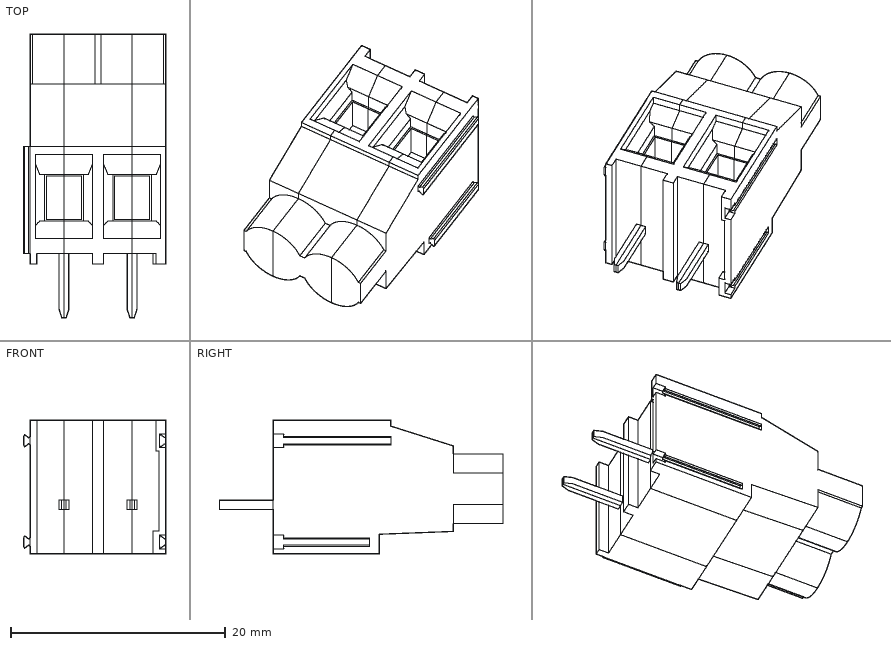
import cadquery as cq


LENGTH = 26.5
HEIGHT = 12.5
WIDTH = 12.7
FOOT_Y = 5.0
FOOT_HEIGHT = 0.98
FRONT_Y = FOOT_Y + FOOT_HEIGHT
TOP_STEP_Y = 16.0
BOTTOM_STEP_Y = 14.95
SHOULDER_Y = 21.85
SLOPE_HIGH_Z = 11.95
SLOPE_LOW_Z = 10.1
BELLY_FRONT_Z = 1.83
BELLY_BACK_Z = 2.1
SIDE_X = WIDTH / 2

POLE_PITCH = 6.35
POLE_XS = (-POLE_PITCH / 2, POLE_PITCH / 2)

TOWER_Z = 6.1
TOWER_RADIUS = 3.25
TOWER_BAR_HEIGHT = 2.92

LEFT_FOOT_WIDTH = 0.64
MIDDLE_FOOT_WIDTH = 1.03
RIGHT_FOOT_WIDTH = 0.64
RIGHT_FOOT_TOP_WIDTH = 0.95
RIGHT_FOOT_TOP_Z = 9.6
RIGHT_FOOT_BOTTOM_WIDTH = 1.22
RIGHT_FOOT_BOTTOM_Z = 2.15

POCKET_FRONT_Y = 7.42
POCKET_BACK_Y = 15.25
POCKET_BACK_WALL_Z = 11.77
WELL_FRONT_Y = 9.04
WELL_BACK_Y = 13.4
WELL_SLOPE_END_Z = 11.08
POCKET_HALF_WIDTH = 2.68
POCKET_SIDE_WALL_Z = 11.45
WELL_HALF_WIDTH = 1.8
WELL_SIDE_SLOPE_END_Z = 10.65
RIM_Z = 9.51
RIM_WIDTH = 0.15
POCKET_FLOOR_Z = TOWER_Z

RAIL_DEPTH = 0.6
RAIL_NOSE_DEPTH = 0.5
RAIL_NECK_DEPTH = 0.13
RAIL_NOSE_HALF = 0.4
RAIL_HALF = 0.58
RAIL_NECK_HALF = 0.3
RAIL_ROOT_HALF = 0.4
RAIL_MOUTH_HALF = 0.64
UPPER_RAIL_Z = 10.57
UPPER_RAIL_END_Y = TOP_STEP_Y
LOWER_RAIL_Z = 1.1
LOWER_RAIL_END_Y = 14.02

PIN_WIDTH = 0.93
PIN_TIP_WIDTH = 0.42
PIN_TAPER = 0.8
PIN_THICKNESS = 0.9
PIN_Z = 4.58


def box(x_range, y_range, z_range):
    """Block between the given limits on each axis."""
    (x0, x1), (y0, y1), (z0, z1) = x_range, y_range, z_range
    return cq.Workplane("XY").box(x1 - x0, y1 - y0, z1 - z0, centered=False).translate((x0, y0, z0))


def prism_along_x(points, x0, x1):
    """Extrude a (y, z) outline from x0 to x1."""
    return cq.Workplane("YZ", origin=(x0, 0, 0)).polyline(points).close().extrude(x1 - x0)


def prism_along_y(points, y0, y1):
    """Extrude an (x, z) outline from y0 to y1."""
    return cq.Workplane("XZ", origin=(0, y0, 0)).polyline(points).close().extrude(y0 - y1)


def make_shell():
    """Housing block with its sloped back, without feet or towers."""
    outline = [
        (FRONT_Y, 0),
        (BOTTOM_STEP_Y, 0),
        (BOTTOM_STEP_Y, BELLY_FRONT_Z),
        (SHOULDER_Y, BELLY_BACK_Z),
        (SHOULDER_Y, SLOPE_LOW_Z),
        (TOP_STEP_Y, SLOPE_HIGH_Z),
        (TOP_STEP_Y, HEIGHT),
        (FRONT_Y, HEIGHT),
    ]
    return prism_along_x(outline, -SIDE_X, SIDE_X)


def make_feet():
    """Full-height foot strips; the right one is wider near its two grooves."""
    y_range = (FOOT_Y, FRONT_Y)
    left = box((-SIDE_X, -SIDE_X + LEFT_FOOT_WIDTH), y_range, (0, HEIGHT))
    middle = box((-MIDDLE_FOOT_WIDTH / 2, MIDDLE_FOOT_WIDTH / 2), y_range, (0, HEIGHT))
    right = box((SIDE_X - RIGHT_FOOT_WIDTH, SIDE_X), y_range, (0, HEIGHT))
    right_top = box((SIDE_X - RIGHT_FOOT_TOP_WIDTH, SIDE_X), y_range, (RIGHT_FOOT_TOP_Z, HEIGHT))
    right_bottom = box((SIDE_X - RIGHT_FOOT_BOTTOM_WIDTH, SIDE_X), y_range, (0, RIGHT_FOOT_BOTTOM_Z))
    return left.union(middle).union(right).union(right_top).union(right_bottom)


def make_towers():
    """Round screw towers joined by a flat bar and trimmed flush with the housing sides."""
    y_range = (SHOULDER_Y, LENGTH)
    half_bar = TOWER_BAR_HEIGHT / 2
    towers = box((-SIDE_X, SIDE_X), y_range, (TOWER_Z - half_bar, TOWER_Z + half_bar))
    for x in POLE_XS:
        tower = cq.Workplane("XZ", origin=(x, SHOULDER_Y, TOWER_Z)).circle(TOWER_RADIUS)
        towers = towers.union(tower.extrude(SHOULDER_Y - LENGTH))
    return towers.intersect(box((-SIDE_X, SIDE_X), y_range, (0, HEIGHT)))


def make_pocket(x):
    """Funnel-shaped wire opening at one pole, with a narrower well below its rim."""
    lengthwise = [
        (POCKET_FRONT_Y, HEIGHT),
        (WELL_FRONT_Y, WELL_SLOPE_END_Z),
        (WELL_FRONT_Y, RIM_Z),
        (WELL_BACK_Y, RIM_Z),
        (WELL_BACK_Y, WELL_SLOPE_END_Z),
        (POCKET_BACK_Y, POCKET_BACK_WALL_Z),
        (POCKET_BACK_Y, HEIGHT),
    ]
    crosswise = [
        (x - POCKET_HALF_WIDTH, HEIGHT),
        (x - POCKET_HALF_WIDTH, POCKET_SIDE_WALL_Z),
        (x - WELL_HALF_WIDTH, WELL_SIDE_SLOPE_END_Z),
        (x - WELL_HALF_WIDTH, RIM_Z),
        (x + WELL_HALF_WIDTH, RIM_Z),
        (x + WELL_HALF_WIDTH, WELL_SIDE_SLOPE_END_Z),
        (x + POCKET_HALF_WIDTH, POCKET_SIDE_WALL_Z),
        (x + POCKET_HALF_WIDTH, HEIGHT),
    ]
    funnel = prism_along_x(lengthwise, x - POCKET_HALF_WIDTH, x + POCKET_HALF_WIDTH)
    funnel = funnel.intersect(prism_along_y(crosswise, POCKET_FRONT_Y, POCKET_BACK_Y))
    half_well = WELL_HALF_WIDTH - RIM_WIDTH
    well = box(
        (x - half_well, x + half_well),
        (WELL_FRONT_Y + RIM_WIDTH, WELL_BACK_Y - RIM_WIDTH),
        (POCKET_FLOOR_Z, RIM_Z),
    )
    return funnel.union(well)


def make_rail(side_x, z, end_y):
    """Dovetail bar standing out towards -X from the plane x = side_x."""
    upper_half = [
        (side_x, z + RAIL_ROOT_HALF),
        (side_x - RAIL_NECK_DEPTH, z + RAIL_NECK_HALF),
        (side_x - RAIL_NOSE_DEPTH, z + RAIL_HALF),
        (side_x - RAIL_DEPTH, z + RAIL_NOSE_HALF),
    ]
    lower_half = [(px, 2 * z - pz) for px, pz in reversed(upper_half)]
    return prism_along_y(upper_half + lower_half, FRONT_Y, end_y)


def make_groove_mouth(z):
    """Rectangular lead-in through the right foot in front of a dovetail groove."""
    return box((SIDE_X - RAIL_DEPTH, SIDE_X), (FOOT_Y, FRONT_Y), (z - RAIL_MOUTH_HALF, z + RAIL_MOUTH_HALF))


def make_pin(x):
    """Flat solder pin with a tapered tip."""
    outline = [
        (x - PIN_TIP_WIDTH / 2, 0),
        (x + PIN_TIP_WIDTH / 2, 0),
        (x + PIN_WIDTH / 2, PIN_TAPER),
        (x + PIN_WIDTH / 2, FRONT_Y),
        (x - PIN_WIDTH / 2, FRONT_Y),
        (x - PIN_WIDTH / 2, PIN_TAPER),
    ]
    bottom = cq.Workplane("XY", origin=(0, 0, PIN_Z - PIN_THICKNESS / 2))
    return bottom.polyline(outline).close().extrude(PIN_THICKNESS)


def make_block():
    """Complete terminal block before it is divided into modules."""
    block = make_shell().union(make_feet()).union(make_towers())
    for x in POLE_XS:
        block = block.cut(make_pocket(x)).union(make_pin(x))
    for z, end_y in ((UPPER_RAIL_Z, UPPER_RAIL_END_Y), (LOWER_RAIL_Z, LOWER_RAIL_END_Y)):
        block = block.union(make_rail(-SIDE_X, z, end_y))
        block = block.cut(make_rail(SIDE_X, z, end_y)).cut(make_groove_mouth(z))
    return block


def slice_block(block, x0, x1):
    """Solid module of the block between the planes x = x0 and x = x1."""
    return block.intersect(box((x0, x1), (0, LENGTH), (0, HEIGHT))).solids().val()


terminal_block = make_block()
left_end = slice_block(terminal_block, -SIDE_X - RAIL_DEPTH, POLE_XS[0])
middle = slice_block(terminal_block, POLE_XS[0], POLE_XS[1])
right_end = slice_block(terminal_block, POLE_XS[1], SIDE_X)

result = cq.Compound.makeCompound([left_end, middle, right_end])